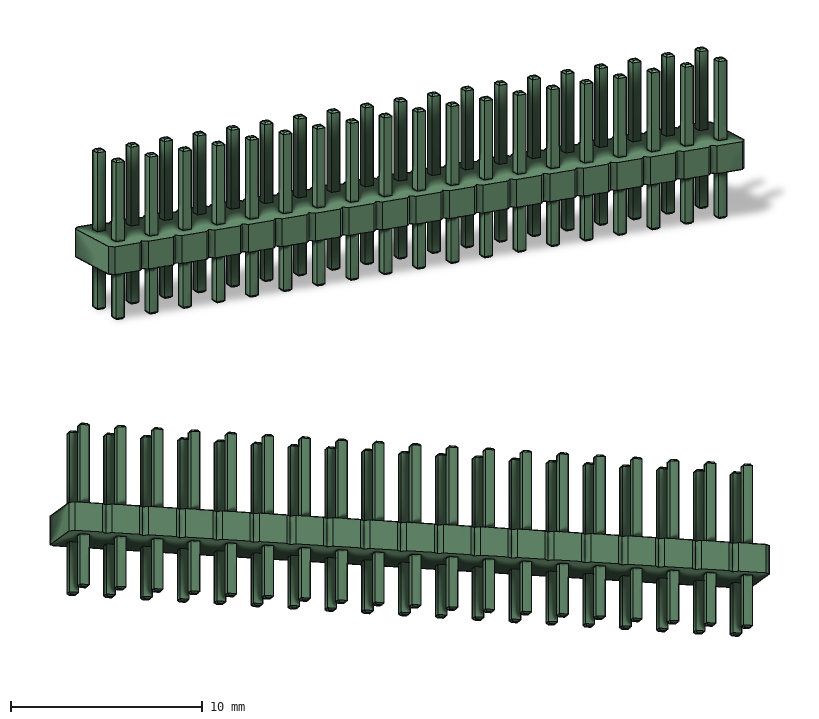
import cadquery as cq


total_length = 38.0
position_count = 19
row_count = 2
body_height = 1.52
pin_width = 0.5
pin_above_body = 4.4
pin_below_body = 2.77
cell_chamfer = 0.25
tip_chamfer = 0.1

pitch = total_length / position_count
body_width = row_count * pitch
pin_length = pin_below_body + body_height + pin_above_body


def centred_positions(count):
    """Pitch-spaced coordinates, symmetric about zero."""
    return [(index - (count - 1) / 2) * pitch for index in range(count)]


def body_cell():
    """One position of the strip; its chamfered corners form V notches with its neighbours."""
    return (
        cq.Workplane("XY")
        .rect(body_width, pitch)
        .extrude(body_height)
        .edges("|Z")
        .chamfer(cell_chamfer)
        .val()
    )


def pin():
    """Square pin reaching above and below the body, with chamfered tips at both ends."""
    return (
        cq.Workplane("XY", origin=(0, 0, -pin_below_body))
        .rect(pin_width, pin_width)
        .extrude(pin_length)
        .faces("<Z or >Z")
        .chamfer(tip_chamfer)
        .val()
    )


cell_points = [(0, y) for y in centred_positions(position_count)]
cell = body_cell()
body = cq.Workplane("XY").pushPoints(cell_points).eachpoint(lambda place: cell.moved(place)).combine()

pin_points = [(x, y) for x in centred_positions(row_count) for y in centred_positions(position_count)]
square_pin = pin()
pins = cq.Workplane("XY").pushPoints(pin_points).eachpoint(lambda place: square_pin.moved(place))

result = body.union(pins)